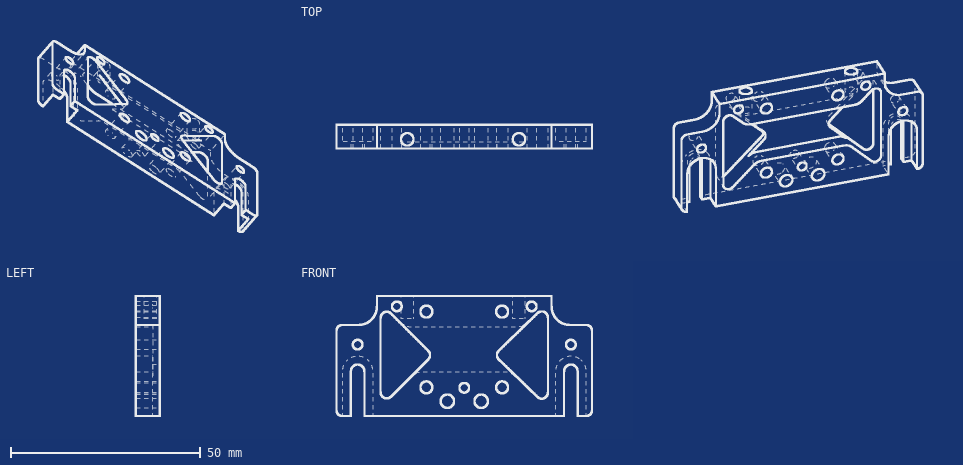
import cadquery as cq

plate_width = 67.51
plate_thickness = 6.35
plate_height = 31.75
body_width = 46.2
shoulder_height = 24.13
shoulder_fillet = 4.7625
ear_corner_radius = 1.5875

ear_feature_x = 28.15
slot_width = 3.5
slot_centre_z = 11.875
slot_recess_width = 8.0
slot_land_thickness = 1.9
ear_hole_z = 18.9

window_outer_x = 22.05
window_mid_z = 16.15
window_half_height = 13.66
window_apex_x = {-1: -8.39, 1: 7.95}
window_corner_radius = 1.5875

web_thickness = 1.8
recess_height = 12.0
recess_edge_radius = 3.0

small_hole_diameter = 2.5
top_hole_x = 17.8
top_hole_z = 29.0
centre_hole_z = 7.5
mount_hole_diameter = 3.1
mount_hole_x = 10.0
mount_hole_z = 7.62
mount_hole_spacing_z = 20.0
pin_hole_diameter = 3.5
pin_hole_x = 4.47
pin_hole_z = 3.96
recess_mid_z = mount_hole_z + mount_hole_spacing_z / 2

edge_hole_diameter = 3.3
edge_hole_depth = 6.0
edge_hole_spacing = 29.5
edge_hole_pair_x = -0.3
edge_hole_y = 2.45

SIDES = (-1, 1)


def front_sketch(y=0):
    """XZ workplane at depth y; extruding by a negative distance goes toward +Y."""
    return cq.Workplane("XZ", origin=(0, y, 0))


def make_plate():
    """Plate with lowered ears, filleted shoulders and rounded ear corners."""
    ears = cq.Workplane("XY").box(
        plate_width, plate_thickness, shoulder_height, centered=(True, False, False)
    )
    ears = ears.edges("|Y").fillet(ear_corner_radius)
    body = cq.Workplane("XY").box(
        body_width, plate_thickness, plate_height, centered=(True, False, False)
    )
    plate = ears.union(body)
    for side in SIDES:
        shoulder = cq.selectors.NearestToPointSelector(
            (side * body_width / 2, plate_thickness / 2, shoulder_height)
        )
        plate = plate.edges("|Y").edges(shoulder).fillet(shoulder_fillet)
    return plate


def ear_slot(side, width, start_y=0):
    """Round-topped slot open at the bottom edge, cut from start_y to the rear face."""
    radius = width / 2
    x = side * ear_feature_x
    return (
        front_sketch(start_y)
        .moveTo(x - radius, 0)
        .lineTo(x - radius, slot_centre_z)
        .threePointArc((x, slot_centre_z + radius), (x + radius, slot_centre_z))
        .lineTo(x + radius, 0)
        .close()
        .extrude(-(plate_thickness - start_y))
    )


def window(side, start_y=0):
    """Isosceles triangular window with rounded corners, cut from start_y to the rear face."""
    apex_x = window_apex_x[side]
    triangle = (
        front_sketch(start_y)
        .moveTo(apex_x, window_mid_z)
        .lineTo(side * window_outer_x, window_mid_z + window_half_height)
        .lineTo(side * window_outer_x, window_mid_z - window_half_height)
        .close()
        .extrude(-(plate_thickness - start_y))
    )
    return triangle.edges("|Y").fillet(window_corner_radius)


def window_side_x(side, z):
    """X of a window's sloping side at height z."""
    apex_x = window_apex_x[side]
    slope = (side * window_outer_x - apex_x) / window_half_height
    return apex_x + slope * abs(z - window_mid_z)


def rear_recess():
    """Channel joining the windows behind the web, with rounded mouths where it meets their sides."""
    floor_z = recess_mid_z - recess_height / 2
    ceiling_z = recess_mid_z + recess_height / 2
    recess = (
        front_sketch(web_thickness)
        .moveTo(window_side_x(-1, floor_z), floor_z)
        .lineTo(window_side_x(1, floor_z), floor_z)
        .lineTo(window_side_x(1, ceiling_z), ceiling_z)
        .lineTo(window_side_x(-1, ceiling_z), ceiling_z)
        .close()
        .extrude(-(plate_thickness - web_thickness))
    )
    for side in SIDES:
        recess = recess.union(window(side, web_thickness))
    middle_y = (web_thickness + plate_thickness) / 2
    for side in SIDES:
        for z in (floor_z, ceiling_z):
            mouth = cq.selectors.NearestToPointSelector((window_side_x(side, z), middle_y, z))
            recess = recess.edges("|Y").edges(mouth).fillet(recess_edge_radius)
    return recess


def through_holes(diameter, centres):
    """Round holes through the plate thickness at (x, z) centres."""
    return front_sketch().pushPoints(centres).circle(diameter / 2).extrude(-plate_thickness)


def edge_holes():
    """Pair of blind holes drilled down from the top edge."""
    centres = [(edge_hole_pair_x + side * edge_hole_spacing / 2, edge_hole_y) for side in SIDES]
    return (
        cq.Workplane("XY", origin=(0, 0, plate_height))
        .pushPoints(centres)
        .circle(edge_hole_diameter / 2)
        .extrude(-edge_hole_depth)
    )


small_hole_centres = [(0, centre_hole_z)]
mount_hole_centres = []
pin_hole_centres = []
for side in SIDES:
    small_hole_centres.append((side * ear_feature_x, ear_hole_z))
    small_hole_centres.append((side * top_hole_x, top_hole_z))
    mount_hole_centres.append((side * mount_hole_x, mount_hole_z))
    mount_hole_centres.append((side * mount_hole_x, mount_hole_z + mount_hole_spacing_z))
    pin_hole_centres.append((side * pin_hole_x, pin_hole_z))

result = make_plate()
for side in SIDES:
    result = result.cut(ear_slot(side, slot_width))
    result = result.cut(ear_slot(side, slot_recess_width, slot_land_thickness))
    result = result.cut(window(side))
result = result.cut(rear_recess())
result = result.cut(through_holes(small_hole_diameter, small_hole_centres))
result = result.cut(through_holes(mount_hole_diameter, mount_hole_centres))
result = result.cut(through_holes(pin_hole_diameter, pin_hole_centres))
result = result.cut(edge_holes())